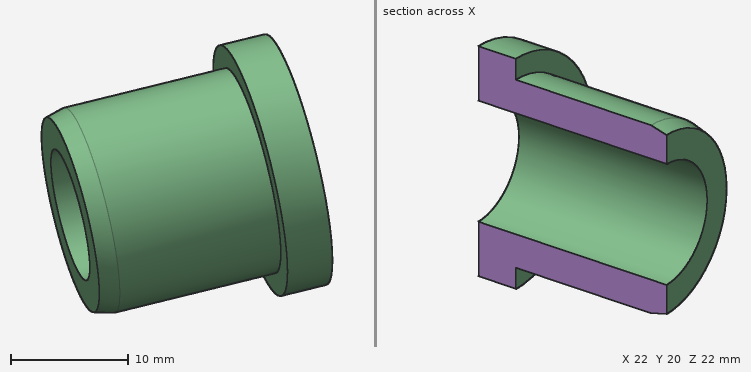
import cadquery as cq
import math

flange_diameter = 22.0
flange_thickness = 4.0
body_diameter = 18.0
bore_diameter = 11.5
total_length = 20.0

taper_length = 1.67
taper_angle = 15.0
taper_depth = taper_length * math.tan(math.radians(taper_angle))

flange_radius = flange_diameter / 2
body_radius = body_diameter / 2
bore_radius = bore_diameter / 2
tip_radius = body_radius - taper_depth

front_y = -total_length / 2
back_y = total_length / 2
taper_end_y = front_y + taper_length
shoulder_y = back_y - flange_thickness

wall_section = [
    (bore_radius, front_y),
    (tip_radius, front_y),
    (body_radius, taper_end_y),
    (body_radius, shoulder_y),
    (flange_radius, shoulder_y),
    (flange_radius, back_y),
    (bore_radius, back_y),
]

result = (
    cq.Workplane("XY")
    .polyline(wall_section)
    .close()
    .revolve(360, (0, 0, 0), (0, 1, 0))
)